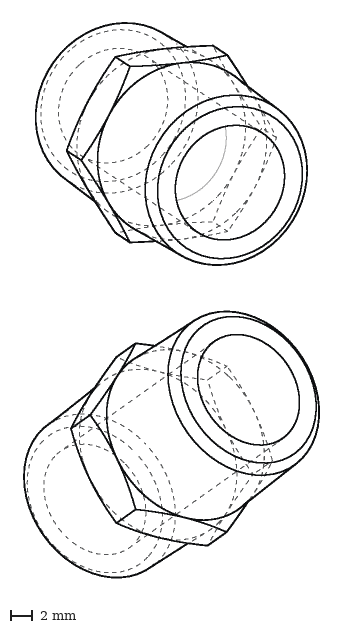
import cadquery as cq
import math

total_length = 28.0
hex_sides = 6
hex_width = 5.0
across_flats = 17.0
bore_diameter = 11.0
gauge_diameter = 16.65
gauge_length = 6.35
thread_taper = 1 / 16
end_face_diameter = 14.6
end_chamfer_length = 0.9
hex_chamfer_angle = 30.0

half_length = total_length / 2
half_hex_width = hex_width / 2
across_corners = across_flats / math.cos(math.pi / hex_sides)
gauge_x = half_length - gauge_length
chamfer_x = half_length - end_chamfer_length


def thread_radius(x):
    """Radius of the tapered thread envelope at distance x from the middle."""
    return (gauge_diameter - thread_taper * (x - gauge_x)) / 2


def tapered_end():
    """Solid tapered end running from the middle to the +X face, bevelled at its outer edge."""
    profile = (
        cq.Workplane("XY")
        .lineTo(0, thread_radius(half_hex_width))
        .lineTo(half_hex_width, thread_radius(half_hex_width))
        .lineTo(chamfer_x, thread_radius(chamfer_x))
        .lineTo(half_length, end_face_diameter / 2)
        .lineTo(half_length, 0)
        .close()
    )
    return profile.revolve(360, (0, 0, 0), (1, 0, 0))


def hexagon():
    """Hexagon with flats on top and bottom and cone-chamfered corners."""
    prism = (
        cq.Workplane("YZ")
        .polygon(hex_sides, across_corners)
        .extrude(half_hex_width, both=True)
    )
    flat_radius = across_flats / 2
    corner_radius = across_corners / 2
    chamfer_depth = (corner_radius - flat_radius) * math.tan(math.radians(hex_chamfer_angle))
    chamfer_envelope = (
        cq.Workplane("XY")
        .moveTo(-half_hex_width, 0)
        .lineTo(-half_hex_width, flat_radius)
        .lineTo(chamfer_depth - half_hex_width, corner_radius)
        .lineTo(half_hex_width - chamfer_depth, corner_radius)
        .lineTo(half_hex_width, flat_radius)
        .lineTo(half_hex_width, 0)
        .close()
        .revolve(360, (0, 0, 0), (1, 0, 0))
    )
    return prism.intersect(chamfer_envelope)


right_end = tapered_end()
left_end = right_end.mirror("YZ")
bore = cq.Workplane("YZ").circle(bore_diameter / 2).extrude(half_length, both=True)

result = hexagon().union(right_end).union(left_end).cut(bore)